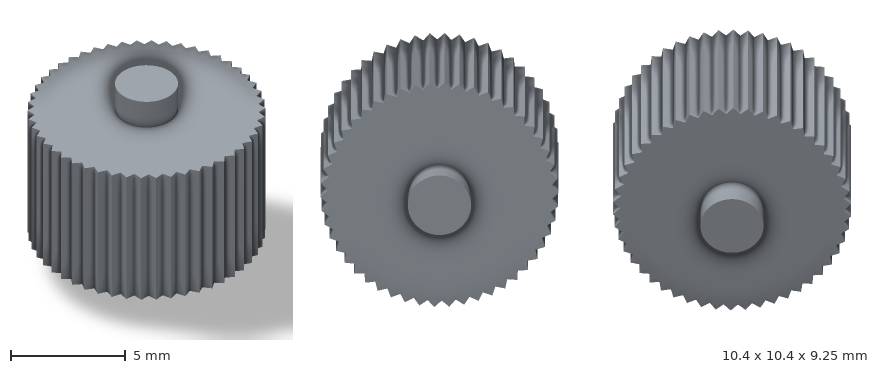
import cadquery as cq
import math

outer_diameter = 10.38
shaft_diameter = 2.75
body_height = 6.5
shaft_length = 9.25

ridge_count = 50
ridge_depth = 0.29
groove_floor_angle = 0.33
first_ridge_angle = 0.29

ridge_pitch = 360 / ridge_count
tip_radius = outer_diameter / 2
root_radius = tip_radius - ridge_depth


def polar_point(radius, angle):
    """Point at a radius and an angle in degrees around the Z axis."""
    return (
        radius * math.cos(math.radians(angle)),
        radius * math.sin(math.radians(angle)),
    )


def knurl_outline():
    """Ridge tips alternating with narrow groove floors around the body."""
    points = []
    for ridge in range(ridge_count):
        tip_angle = first_ridge_angle + ridge * ridge_pitch
        groove_angle = tip_angle + ridge_pitch / 2
        points.append(polar_point(tip_radius, tip_angle))
        points.append(polar_point(root_radius, groove_angle - groove_floor_angle / 2))
        points.append(polar_point(root_radius, groove_angle + groove_floor_angle / 2))
    return points


def knurled_body():
    """Knurled cylinder centred on the origin."""
    outline = cq.Workplane("XY").workplane(offset=-body_height / 2).polyline(knurl_outline())
    return outline.close().extrude(body_height)


def shaft():
    """Round shaft projecting equally from both ends of the body."""
    return cq.Workplane("XY").circle(shaft_diameter / 2).extrude(shaft_length / 2, both=True)


result = knurled_body().union(shaft())